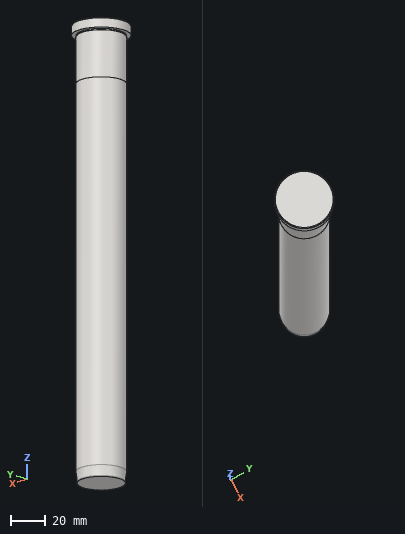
import cadquery as cq

total_length = 280.0
head_diameter = 35.0
shank_diameter = 30.0

head_height = 6.2
headed_end_length = 35.8
tip_length = 7.0
tip_land = 0.5

tip_end_diameter = 28.5

relief_width = 0.8
relief_depth = 0.3

head_chamfer = 0.5

head_radius = head_diameter / 2
shank_radius = shank_diameter / 2
tip_end_radius = tip_end_diameter / 2
tip_middle_radius = tip_end_radius + (shank_radius - tip_end_radius) / 4
top_z = total_length / 2
bottom_z = -total_length / 2
head_bottom_z = top_z - head_height
relief_radius = shank_radius - relief_depth
relief_bottom_z = head_bottom_z - relief_width
joint_z = top_z - headed_end_length
tip_start_z = bottom_z + tip_length
tip_land_z = bottom_z + tip_land


def revolve_about_z(profile):
    """Turn a closed XZ half-profile around the Z axis."""
    return profile.revolve(360, (0, 0, 0), (0, 1, 0))


def make_headed_end():
    """Flanged head, relief groove and the upper part of the shank."""
    profile = (
        cq.Workplane("XZ")
        .moveTo(0, top_z)
        .lineTo(-head_radius, top_z)
        .lineTo(-head_radius, head_bottom_z)
        .lineTo(-relief_radius, head_bottom_z)
        .lineTo(-relief_radius, relief_bottom_z)
        .lineTo(-shank_radius, relief_bottom_z)
        .lineTo(-shank_radius, joint_z)
        .lineTo(0, joint_z)
        .close()
    )
    return revolve_about_z(profile).faces(">Z").edges().chamfer(head_chamfer)


def make_guide_shaft():
    """Long shaft whose lower end narrows along a hollow arc to a short land."""
    profile = (
        cq.Workplane("XZ")
        .moveTo(0, joint_z)
        .lineTo(0, bottom_z)
        .lineTo(-tip_end_radius, bottom_z)
        .lineTo(-tip_end_radius, tip_land_z)
        .threePointArc(
            (-tip_middle_radius, (tip_land_z + tip_start_z) / 2),
            (-shank_radius, tip_start_z),
        )
        .lineTo(-shank_radius, joint_z)
        .close()
    )
    return revolve_about_z(profile)


headed_end = make_headed_end()
guide_shaft = make_guide_shaft()

result = cq.Compound.makeCompound([headed_end.val(), guide_shaft.val()])